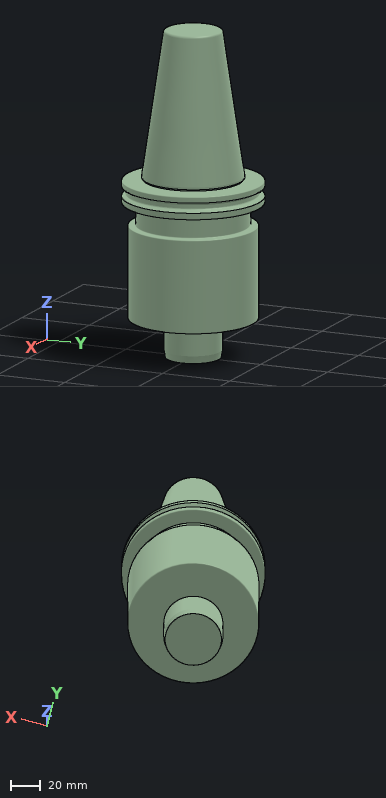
import cadquery as cq
import math

total_length = 228.5
nose_top = 27.2
body_top = 92.4
gauge_level = 126.9
flange_top = gauge_level - 3.2
flange_bottom = gauge_level - 19.0

nose_diameter = 40.0
body_diameter = 89.0
neck_diameter = 78.0
flange_diameter = 97.4
gauge_diameter = 70.0
taper_ratio = 7 / 24

groove_diameter = 91.0
groove_width = 7.0
groove_middle = gauge_level - 10.7
groove_wall_angle = 30.0

nose_chamfer_length = 5.3
nose_chamfer_width = 1.0
edge_fillet = 0.7
root_fillet = 0.7
groove_fillet = 1.0
taper_end_fillet = 2.0

undercut_depth = 1.0
undercut_height = 1.8


def cylinder(diameter, bottom, top):
    return cq.Workplane("XY").workplane(offset=bottom).circle(diameter / 2).extrude(top - bottom)


def start_with_root_fillet(radius, level):
    """Start a half profile that rises from a flat shoulder through a concave fillet."""
    arc_middle = root_fillet * (1 - math.sqrt(0.5))
    return (
        cq.Workplane("XZ")
        .moveTo(0, level)
        .lineTo(radius + root_fillet, level)
        .threePointArc((radius + arc_middle, level + arc_middle), (radius, level + root_fillet))
    )


def make_nose():
    """Cylindrical pilot with a slender lead-in at its lower end."""
    radius = nose_diameter / 2
    profile = [
        (0, 0),
        (radius - nose_chamfer_width, 0),
        (radius, nose_chamfer_length),
        (radius, nose_top),
        (0, nose_top),
    ]
    return cq.Workplane("XZ").polyline(profile).close().revolve(360, (0, 0), (0, 1))


def make_body():
    return cylinder(body_diameter, nose_top, body_top).faces("|Z").edges().fillet(edge_fillet)


def make_flange():
    """Disc with rounded rims and a trapezoidal groove with a rounded floor."""
    disc = cylinder(flange_diameter, flange_bottom, flange_top).faces("|Z").edges().fillet(edge_fillet)
    outer = flange_diameter / 2
    floor = groove_diameter / 2
    half_mouth = groove_width / 2
    half_floor = half_mouth - (outer - floor) * math.tan(math.radians(groove_wall_angle))
    groove_profile = [
        (floor, groove_middle - half_floor),
        (outer, groove_middle - half_mouth),
        (outer, groove_middle + half_mouth),
        (floor, groove_middle + half_floor),
    ]
    groove = cq.Workplane("XZ").polyline(groove_profile).close().revolve(360, (0, 0), (0, 1))
    floor_edges = cq.selectors.RadiusNthSelector(0)
    return disc.cut(groove.edges("%CIRCLE").edges(floor_edges).fillet(groove_fillet))


def make_taper():
    """Tapered shank on a short collar, undercut and rounded where it meets the flange."""
    gauge_radius = gauge_diameter / 2
    end_radius = gauge_radius - (total_length - gauge_level) * taper_ratio / 2
    undercut_radius = gauge_radius - undercut_depth
    shank = (
        start_with_root_fillet(undercut_radius, flange_top)
        .lineTo(gauge_radius, flange_top + undercut_height)
        .lineTo(gauge_radius, gauge_level)
        .lineTo(end_radius, total_length)
        .lineTo(0, total_length)
        .close()
        .revolve(360, (0, 0), (0, 1))
    )
    return shank.faces(">Z").edges().fillet(taper_end_fillet)


def make_neck():
    """Plain neck with a concave fillet where it meets the top of the body."""
    radius = neck_diameter / 2
    return (
        start_with_root_fillet(radius, body_top)
        .lineTo(radius, flange_bottom)
        .lineTo(0, flange_bottom)
        .close()
        .revolve(360, (0, 0), (0, 1))
    )


result = make_nose().union(make_body()).union(make_neck()).union(make_flange()).union(make_taper())